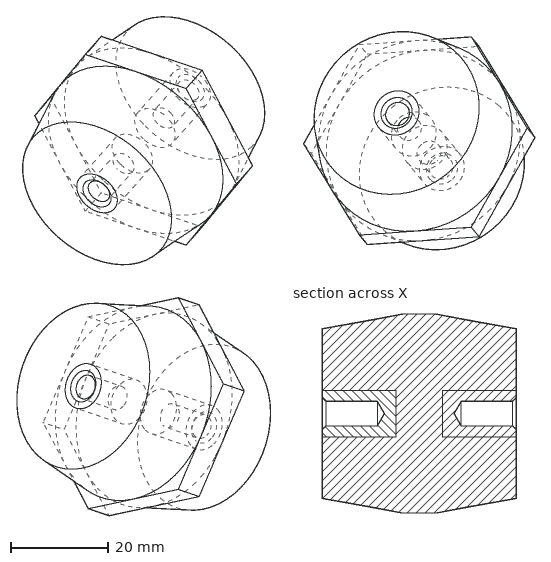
import cadquery as cq
import math

CORNER_WIDTH = 47.35
LENGTH = 40.0
COLLAR_WIDTH = 6.9
END_DIAMETER = 35.0

INSERT_DIAMETER = 9.5
INSERT_LENGTH = 15.15
BORE_DIAMETER = 5.0
BORE_DEPTH = 11.35
MOUTH_DIAMETER = 6.65
DRILL_POINT_ANGLE = 120.0

FLAT_WIDTH = CORNER_WIDTH * math.cos(math.radians(30))
HALF_LENGTH = LENGTH / 2
HALF_COLLAR = COLLAR_WIDTH / 2
BORE_RADIUS = BORE_DIAMETER / 2
MOUTH_DEPTH = (MOUTH_DIAMETER - BORE_DIAMETER) / 2
DRILL_POINT_DEPTH = BORE_RADIUS / math.tan(math.radians(DRILL_POINT_ANGLE / 2))
INSERT_INNER_END = HALF_LENGTH - INSERT_LENGTH

AXIS_START = (0, 0, 0)
AXIS_END = (0, 1, 0)
END_SIDES = (-1, 1)


def make_insert(side):
    """Blind metal insert, flush with the end face on the given side (-1 or +1) of Y."""
    bore_end = HALF_LENGTH - BORE_DEPTH
    profile = [
        (0, INSERT_INNER_END),
        (INSERT_DIAMETER / 2, INSERT_INNER_END),
        (INSERT_DIAMETER / 2, HALF_LENGTH),
        (MOUTH_DIAMETER / 2, HALF_LENGTH),
        (BORE_RADIUS, HALF_LENGTH - MOUTH_DEPTH),
        (BORE_RADIUS, bore_end),
        (0, bore_end - DRILL_POINT_DEPTH),
    ]
    points = [(radius, side * y) for radius, y in profile]
    return cq.Workplane("XY").polyline(points).close().revolve(360, AXIS_START, AXIS_END)


def make_insert_pocket(side):
    """Solid plug of the same envelope as an insert, used to cut its pocket."""
    return (
        cq.Workplane("XZ", origin=(0, side * HALF_LENGTH, 0))
        .circle(INSERT_DIAMETER / 2)
        .extrude(side * INSERT_LENGTH)
    )


def make_housing():
    """Double-tapered insulator with a hexagonal collar and an insert pocket in each end."""
    taper_profile = [
        (0, -HALF_LENGTH),
        (END_DIAMETER / 2, -HALF_LENGTH),
        (FLAT_WIDTH / 2, -HALF_COLLAR),
        (FLAT_WIDTH / 2, HALF_COLLAR),
        (END_DIAMETER / 2, HALF_LENGTH),
        (0, HALF_LENGTH),
    ]
    tapers = cq.Workplane("XY").polyline(taper_profile).close().revolve(360, AXIS_START, AXIS_END)
    collar = cq.Workplane("XZ").polygon(6, CORNER_WIDTH).extrude(HALF_COLLAR, both=True)
    housing = tapers.union(collar)
    for side in END_SIDES:
        housing = housing.cut(make_insert_pocket(side))
    return housing


housing = make_housing()
inserts = [make_insert(side) for side in END_SIDES]

result = cq.Compound.makeCompound([housing.val(), *[insert.val() for insert in inserts]])